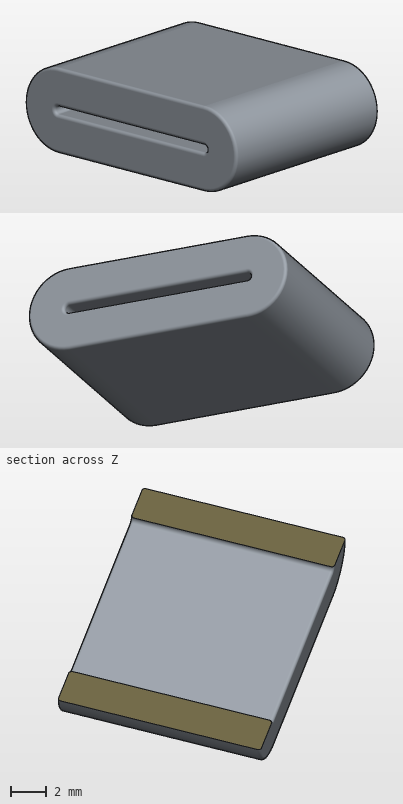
import cadquery as cq

width = 16.0
depth = 12.0
height = 5.0
edge_round = 0.2

slot_width = 11.5
slot_height = 0.5
mouth_round = 0.2


def stadium_bar(bar_width, bar_height):
    """Bar with fully rounded sides, centred on the origin along Y."""
    return (
        cq.Workplane("XZ")
        .slot2D(bar_width, bar_height)
        .extrude(depth / 2, both=True)
    )


body = stadium_bar(width, height).faces("<Y or >Y").edges().fillet(edge_round)

slotted = body.cut(stadium_bar(slot_width, slot_height))

mouth_box = cq.selectors.BoxSelector(
    (-width / 2, -depth, -slot_height),
    (width / 2, depth, slot_height),
    boundingbox=True,
)
result = slotted.faces("<Y or >Y").edges(mouth_box).fillet(mouth_round)